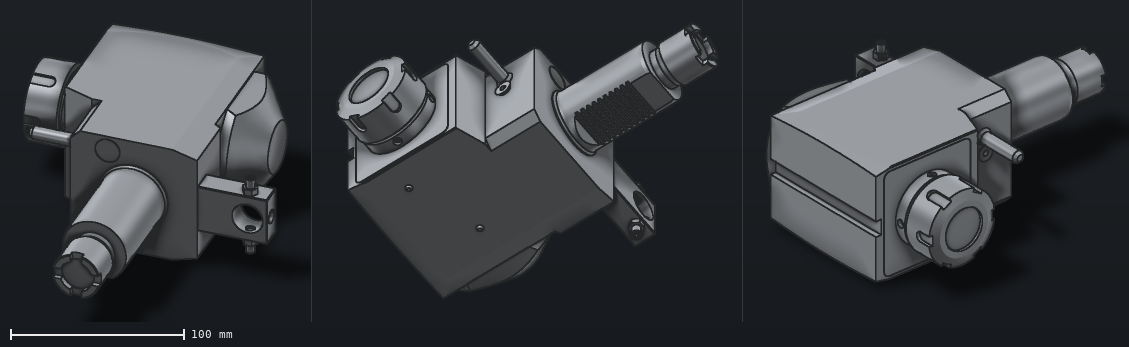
import cadquery as cq
import math


HALF_HEIGHT = 37.5
BACK_Y = 119.0
NOSE_X = -58.2
STEP_X = -38.9
STEP_Y = 35.0
STEP_TAPER_Y = 42.0
CAP_FACE_X = 35.7
ARM_FACE_X = 39.4
RELIEF_LOW_Y = 37.8
RELIEF_HIGH_Y = 39.5
STEP_CHAMFER = 6.0
NOSE_CHAMFER = 0.6
SIDE_SLOPE_X = 24.0
SIDE_SLOPE = math.tan(math.radians(15))
CROWN_CENTER = (-17.0, 5.5)
CROWN_RADIUS = 109.0
CROWN_SLOPE = 0.2
KEYWAY_WIDTH = 10.4
KEYWAY_DEPTH = 4.0
PLUG_CENTER = (-16.0, 27.8)
PLUG_RADIUS = 7.6
PLUG_DEPTH = 0.3
BUTTON_CENTERS = [(-40.0, 88.6), (6.7, 71.8)]
BUTTON_HEIGHT = 1.6
BUTTON_BASE_RADIUS = 2.2
BUTTON_TIP_RADIUS = 1.2

SPINDLE_Y = 80.2
PLATE_THICKNESS = 0.2
PLATE_Y_RANGE = (47.4, 113.0)
PLATE_HALF_HEIGHT = 35.0
PLATE_CORNER = 4.5
NUT_TIP_X = -91.0
NUT_CONE_X = -89.0
NUT_BACK_X = -68.8
RING_X = -66.3
NUT_RADIUS = 25.0
NUT_FACE_RADIUS = 18.2
NUT_BORE_RADIUS = 13.9
NUT_BORE_DEPTH = 2.0
NECK_RADIUS = 20.6
RING_RADIUS = 24.0
NUT_SLOT_COUNT = 6
NUT_SLOT_END_X = -78.2
NUT_LONG_SLOT_END_X = -74.0
NUT_LONG_SLOTS = (1, 2)
NUT_SLOT_WIDTH = 6.8
NUT_SLOT_FLOOR_RADIUS = 22.6
RING_HOLE_COUNT = 4
RING_HOLE_X = -62.6
RING_HOLE_RADIUS = 2.6
RING_HOLE_DEPTH = 3.0

CAP_RADIUS = 40.0
CAP_TIP_RADIUS = 16.0
CAP_CONE_X = 41.9
CAP_TIP_X = 58.6
CAP_TOP_Y = 112.1
CAP_FLAT_HALF_HEIGHT = 31.85

COLLAR_RADIUS = 21.5
COLLAR_LENGTH = 0.6
COLLAR_END_RADIUS = 20.3
COLLAR_TAPER_END = 2.2
SHANK_RADIUS = 20.0
SHANK_START = 4.0
SHANK_LENGTH = 63.0
SHANK_LEAD_LENGTH = 2.6
SHANK_END_RADIUS = 19.6
DRIVE_NECK_RADIUS = 12.5
DRIVE_NECK_END = 67.4
DRIVE_RADIUS = 14.5
DRIVE_START = 71.2
DRIVE_END = 93.0
DRIVE_CHAMFER = 0.5
DRIVE_BORE_RADIUS = 10.0
DRIVE_BORE_DEPTH = 4.2
DRIVE_SLOT_WIDTH = 7.0
DRIVE_SLOT_DEPTH = 3.4
RACK_FLAT_Z = -16.0
RACK_FLAT_START = 9.5
RACK_RUNOUT_START = 3.6
RACK_PITCH = 4.0
RACK_FIRST_GROOVE = 11.6
RACK_GROOVE_COUNT = 10
RACK_GROOVE_DEPTH = 1.2
RACK_GROOVE_MOUTH = 2.8
RACK_GROOVE_FLOOR = 1.4

PIN_Y = 21.0
PIN_Z = 16.2
PIN_RADIUS = 4.0
PIN_TIP_X = -71.5
PIN_TIP_RADIUS = 2.2
PIN_TIP_LENGTH = 2.3
PIN_FLARE_RADIUS = 5.5
PIN_FLARE_LENGTH = 2.2
NOZZLE_Z = 6.0
NOZZLE_RADIUS = 5.3
NOZZLE_BASE_RADIUS = 4.0
NOZZLE_HEIGHT = 2.0
NOZZLE_HOLE_RADIUS = 1.8
NOZZLE_HOLE_DEPTH = 4.0

ARM_END_X = 82.1
ARM_Y_RANGE = (1.2, 15.9)
ARM_HALF_HEIGHT = 15.0
ARM_CHAMFER = 0.5
ARM_HOLE_X = 70.0
ARM_HOLE_RADIUS = 9.5
ARM_END_HOLE_RADIUS = 4.25
SCREW_Y = 6.2
SCREW_RADIUS = 2.7
SCREW_END_Z = 25.2
SCREW_INNER_Z = 11.0
SCREW_CHAMFER = 0.4
SOCKET_WIDTH = 2.8
SOCKET_DEPTH = 2.0
NUT_HEX_CORNERS = 9.2
NUT_HEX_HEIGHT = 4.0

OVERLAP = 1.0
CLEARANCE = 5.0


def box(x_range, y_range, z_range):
    """Axis-aligned box from its coordinate ranges."""
    size = [high - low for low, high in (x_range, y_range, z_range)]
    corner = (x_range[0], y_range[0], z_range[0])
    return cq.Workplane("XY").box(*size, centered=False).translate(corner)


def turn_about_x(profile, y, z):
    """Solid of revolution about an X-parallel line; profile is (x, radius) from axis to axis."""
    solid = cq.Workplane("XY").polyline(profile).close().revolve(360, (0, 0), (1, 0))
    return solid.translate((0, y, z))


def side_slope_wedges(start_x, start_z, y_range, end_x):
    """Material above and below the two 15 degree planes that fall away toward +X."""
    low_y, high_y = y_range
    drop = (end_x - start_x) * SIDE_SLOPE
    top_z = HALF_HEIGHT + CLEARANCE
    profile = [(start_x, start_z), (end_x, start_z - drop), (end_x, top_z), (start_x, top_z)]
    upper = cq.Workplane("XZ", origin=(0, high_y, 0)).polyline(profile).close().extrude(high_y - low_y)
    return upper.union(upper.mirror("XY"))


def crown_envelope():
    """Double cone about a Z-parallel axis that bounds the crowned back edges."""
    outer_radius = CROWN_RADIUS + HALF_HEIGHT / CROWN_SLOPE
    profile = [(0, -HALF_HEIGHT), (CROWN_RADIUS, -HALF_HEIGHT), (outer_radius, 0),
               (CROWN_RADIUS, HALF_HEIGHT), (0, HALF_HEIGHT)]
    cone = cq.Workplane("XZ").polyline(profile).close().revolve(360, (0, 0), (0, 1))
    return cone.translate((CROWN_CENTER[0], CROWN_CENTER[1], 0))


def make_housing():
    outline = [(NOSE_X, BACK_Y), (CAP_FACE_X, BACK_Y), (CAP_FACE_X, RELIEF_HIGH_Y),
               (ARM_FACE_X, RELIEF_LOW_Y), (ARM_FACE_X, 0), (STEP_X, 0),
               (STEP_X, STEP_Y), (NOSE_X, STEP_TAPER_Y)]
    block = cq.Workplane("XY").polyline(outline).close().extrude(HALF_HEIGHT, both=True)
    block = block.faces("<X").edges("|Y").chamfer(NOSE_CHAMFER)
    block = block.intersect(crown_envelope())
    wedge_y = (-CLEARANCE, BACK_Y + CLEARANCE)
    block = block.cut(side_slope_wedges(SIDE_SLOPE_X, HALF_HEIGHT, wedge_y, ARM_FACE_X + CLEARANCE))
    block = block.cut(step_chamfer_cutters())
    keyway = box((NOSE_X - CLEARANCE, ARM_FACE_X), (BACK_Y - KEYWAY_DEPTH, BACK_Y + CLEARANCE),
                 (-KEYWAY_WIDTH / 2, KEYWAY_WIDTH / 2))
    plug_recess = (cq.Workplane("XZ").center(*PLUG_CENTER).circle(PLUG_RADIUS)
                   .extrude(-PLUG_DEPTH))
    return block.cut(keyway).cut(plug_recess)


def step_chamfer_cutters():
    """Triangular prisms that bevel the long edges of the stepped side face."""
    corner = [(STEP_X, HALF_HEIGHT), (STEP_X + STEP_CHAMFER, HALF_HEIGHT),
              (STEP_X, HALF_HEIGHT - STEP_CHAMFER)]
    upper = cq.Workplane("XZ", origin=(0, STEP_Y, 0)).polyline(corner).close().extrude(STEP_Y)
    return upper.union(upper.mirror("XY"))


def make_buttons():
    """Small tapered buttons on the underside."""
    buttons = cq.Workplane("XY")
    for x, y in BUTTON_CENTERS:
        profile = [(0, OVERLAP), (BUTTON_BASE_RADIUS, OVERLAP), (BUTTON_BASE_RADIUS, 0),
                   (BUTTON_TIP_RADIUS, -BUTTON_HEIGHT), (0, -BUTTON_HEIGHT)]
        button = cq.Workplane("XZ").polyline(profile).close().revolve(360, (0, 0), (0, 1))
        buttons = buttons.union(button.translate((x, y, -HALF_HEIGHT)))
    return buttons


def make_nose_plate():
    plate = box((NOSE_X - PLATE_THICKNESS, NOSE_X + OVERLAP), PLATE_Y_RANGE,
                (-PLATE_HALF_HEIGHT, PLATE_HALF_HEIGHT))
    return plate.edges("|X").fillet(PLATE_CORNER)


def nut_slot(end_x):
    """Round-ended wrench slot cutter on the +Y side of the nut, about the X axis."""
    half_width = NUT_SLOT_WIDTH / 2
    start_x = NUT_TIP_X - CLEARANCE
    straight_end_x = end_x - half_width
    return (cq.Workplane("XZ", origin=(0, NUT_SLOT_FLOOR_RADIUS, 0))
            .moveTo(start_x, -half_width)
            .lineTo(straight_end_x, -half_width)
            .threePointArc((end_x, 0), (straight_end_x, half_width))
            .lineTo(start_x, half_width)
            .close()
            .extrude(-CLEARANCE))


def make_collet_nut():
    bore_floor_x = NUT_TIP_X + NUT_BORE_DEPTH
    inner_x = NOSE_X + OVERLAP
    profile = [(bore_floor_x, 0), (bore_floor_x, NUT_BORE_RADIUS), (NUT_TIP_X, NUT_BORE_RADIUS),
               (NUT_TIP_X, NUT_FACE_RADIUS), (NUT_CONE_X, NUT_RADIUS), (NUT_BACK_X, NUT_RADIUS),
               (NUT_BACK_X, NECK_RADIUS), (RING_X, NECK_RADIUS), (RING_X, RING_RADIUS),
               (inner_x, RING_RADIUS), (inner_x, 0)]
    nut = turn_about_x(profile, 0, 0)
    for i in range(NUT_SLOT_COUNT):
        end_x = NUT_LONG_SLOT_END_X if i in NUT_LONG_SLOTS else NUT_SLOT_END_X
        nut = nut.cut(nut_slot(end_x).rotate((0, 0, 0), (1, 0, 0), i * 360 / NUT_SLOT_COUNT))
    hole = (cq.Workplane("XY", origin=(RING_HOLE_X, 0, RING_RADIUS - RING_HOLE_DEPTH))
            .circle(RING_HOLE_RADIUS).extrude(RING_HOLE_DEPTH + CLEARANCE))
    for i in range(RING_HOLE_COUNT):
        nut = nut.cut(hole.rotate((0, 0, 0), (1, 0, 0), i * 360 / RING_HOLE_COUNT))
    return nut.translate((0, SPINDLE_Y, 0))


def make_bearing_cap():
    inner_x = CAP_FACE_X - OVERLAP
    profile = [(inner_x, 0), (inner_x, CAP_RADIUS), (CAP_CONE_X, CAP_RADIUS),
               (CAP_TIP_X, CAP_TIP_RADIUS), (CAP_TIP_X, 0)]
    cap = turn_about_x(profile, SPINDLE_Y, 0)
    y_range = (SPINDLE_Y - CAP_RADIUS - CLEARANCE, SPINDLE_Y + CAP_RADIUS + CLEARANCE)
    start_z = CAP_FLAT_HALF_HEIGHT + (CAP_CONE_X - inner_x) * SIDE_SLOPE
    cap = cap.cut(side_slope_wedges(inner_x, start_z, y_range, CAP_TIP_X))
    beyond_top = box((inner_x, CAP_TIP_X), (CAP_TOP_Y, y_range[1]), (-CAP_RADIUS, CAP_RADIUS))
    return cap.cut(beyond_top)


def make_shank():
    profile = [(0, OVERLAP), (COLLAR_RADIUS, OVERLAP), (COLLAR_RADIUS, -COLLAR_LENGTH),
               (COLLAR_END_RADIUS, -COLLAR_TAPER_END), (SHANK_RADIUS, -SHANK_START),
               (SHANK_RADIUS, SHANK_LEAD_LENGTH - SHANK_LENGTH), (SHANK_END_RADIUS, -SHANK_LENGTH),
               (0, -SHANK_LENGTH)]
    shank = cq.Workplane("XY").polyline(profile).close().revolve(360, (0, 0), (0, 1))
    return shank.cut(rack_flat_cutter()).cut(rack_groove_cutters())


def rack_flat_cutter():
    """Removes the underside of the shank up to the rack flat, with a sloping run-out."""
    end_y = -SHANK_LENGTH - CLEARANCE
    bottom_z = -COLLAR_RADIUS
    profile = [(-RACK_RUNOUT_START, bottom_z), (-RACK_FLAT_START, RACK_FLAT_Z),
               (end_y, RACK_FLAT_Z), (end_y, bottom_z)]
    return cq.Workplane("YZ").polyline(profile).close().extrude(SHANK_RADIUS, both=True)


def rack_groove_cutters():
    """Trapezoidal grooves across the rack flat."""
    floor_z = RACK_FLAT_Z + RACK_GROOVE_DEPTH
    grooves = cq.Workplane("XY")
    for i in range(RACK_GROOVE_COUNT):
        y = -RACK_FIRST_GROOVE - i * RACK_PITCH
        profile = [(y - RACK_GROOVE_MOUTH / 2, RACK_FLAT_Z), (y - RACK_GROOVE_FLOOR / 2, floor_z),
                   (y + RACK_GROOVE_FLOOR / 2, floor_z), (y + RACK_GROOVE_MOUTH / 2, RACK_FLAT_Z)]
        groove = cq.Workplane("YZ").polyline(profile).close().extrude(SHANK_RADIUS, both=True)
        grooves = grooves.union(groove)
    return grooves


def make_drive_end():
    """Driven stub with a recessed end and crossed driving slots."""
    bore_floor_y = -DRIVE_END + DRIVE_BORE_DEPTH
    start_y = -SHANK_LENGTH + OVERLAP
    profile = [(0, start_y), (DRIVE_NECK_RADIUS, start_y), (DRIVE_NECK_RADIUS, -DRIVE_NECK_END),
               (DRIVE_RADIUS, -DRIVE_START), (DRIVE_RADIUS, -DRIVE_END + DRIVE_CHAMFER),
               (DRIVE_RADIUS - DRIVE_CHAMFER, -DRIVE_END), (DRIVE_BORE_RADIUS, -DRIVE_END),
               (DRIVE_BORE_RADIUS, bore_floor_y), (0, bore_floor_y)]
    stub = cq.Workplane("XY").polyline(profile).close().revolve(360, (0, 0), (0, 1))
    across = (-DRIVE_RADIUS, DRIVE_RADIUS)
    slot = (-DRIVE_SLOT_WIDTH / 2, DRIVE_SLOT_WIDTH / 2)
    depth = (-DRIVE_END - CLEARANCE, -DRIVE_END + DRIVE_SLOT_DEPTH)
    return stub.cut(box(across, depth, slot)).cut(box(slot, depth, across))


def make_coolant_pin():
    root_x = STEP_X + OVERLAP
    profile = [(PIN_TIP_X, 0), (PIN_TIP_X, PIN_TIP_RADIUS), (PIN_TIP_X + PIN_TIP_LENGTH, PIN_RADIUS),
               (STEP_X - PIN_FLARE_LENGTH, PIN_RADIUS), (STEP_X, PIN_FLARE_RADIUS),
               (root_x, PIN_FLARE_RADIUS), (root_x, 0)]
    return turn_about_x(profile, PIN_Y, PIN_Z)


def make_nozzle():
    """Flat-faced nozzle disc beside the coolant pin, undercut toward the housing."""
    face_x = STEP_X - NOZZLE_HEIGHT
    root_x = STEP_X + OVERLAP
    profile = [(face_x, 0), (face_x, NOZZLE_RADIUS), (STEP_X, NOZZLE_BASE_RADIUS),
               (root_x, NOZZLE_BASE_RADIUS), (root_x, 0)]
    return turn_about_x(profile, PIN_Y, NOZZLE_Z)


def nozzle_hole():
    start_x = STEP_X - NOZZLE_HEIGHT - CLEARANCE
    return (cq.Workplane("YZ", origin=(start_x, PIN_Y, NOZZLE_Z)).circle(NOZZLE_HOLE_RADIUS)
            .extrude(CLEARANCE + NOZZLE_HOLE_DEPTH))


def make_clamp_screw():
    """Upper set screw and lock nut, with a socket in the screw end."""
    seat_z = ARM_HALF_HEIGHT - OVERLAP
    screw = (cq.Workplane("XY", origin=(0, 0, seat_z)).circle(SCREW_RADIUS)
             .extrude(SCREW_END_Z - seat_z).faces(">Z").chamfer(SCREW_CHAMFER))
    lock_nut = (cq.Workplane("XY", origin=(0, 0, seat_z)).polygon(6, NUT_HEX_CORNERS)
                .extrude(NUT_HEX_HEIGHT + OVERLAP))
    socket = (cq.Workplane("XY", origin=(0, 0, SCREW_END_Z)).polygon(6, SOCKET_WIDTH)
              .extrude(-SOCKET_DEPTH))
    return screw.union(lock_nut).cut(socket).translate((ARM_HOLE_X, SCREW_Y, 0))


def make_arm():
    arm = box((ARM_FACE_X - OVERLAP, ARM_END_X), ARM_Y_RANGE, (-ARM_HALF_HEIGHT, ARM_HALF_HEIGHT))
    arm = arm.faces(">X or >Z or <Z").edges("not <X").chamfer(ARM_CHAMFER)
    bore = (cq.Workplane("XZ", origin=(ARM_HOLE_X, ARM_Y_RANGE[1] + CLEARANCE, 0))
            .circle(ARM_HOLE_RADIUS).extrude(ARM_Y_RANGE[1] + 2 * CLEARANCE))
    screw_bore = (cq.Workplane("XY", origin=(ARM_HOLE_X, SCREW_Y, 0)).circle(SCREW_RADIUS)
                  .extrude(SCREW_INNER_Z, both=True))
    end_hole = (cq.Workplane("YZ", origin=(ARM_HOLE_X, sum(ARM_Y_RANGE) / 2, 0))
                .circle(ARM_END_HOLE_RADIUS).extrude(ARM_END_X - ARM_HOLE_X + CLEARANCE))
    screw = make_clamp_screw()
    return arm.cut(bore).cut(screw_bore).cut(end_hole).union(screw).union(screw.mirror("XY"))


result = make_housing()
for feature in (make_nose_plate(), make_collet_nut(), make_bearing_cap(), make_shank(),
                make_drive_end(), make_coolant_pin(), make_nozzle(), make_arm(), make_buttons()):
    result = result.union(feature)
result = result.cut(nozzle_hole())